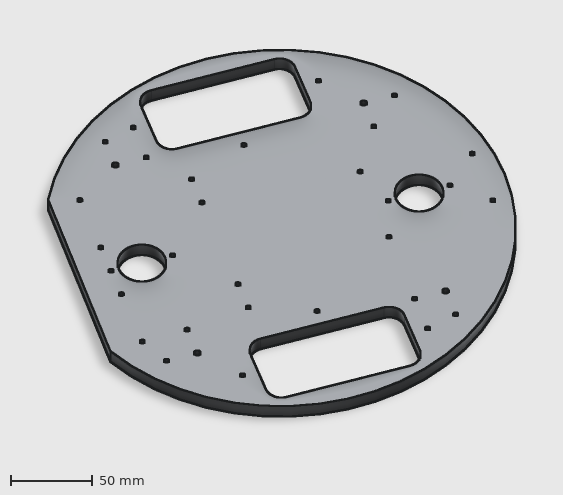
import cadquery as cq
import math

PLATE_RADIUS = 145.0
PLATE_THICKNESS = 10.0

FLAT_LEFT_X = -67.3
FLAT_RIGHT_X = 61.89

WINDOW_WIDTH = 50.0
WINDOW_LENGTH = 100.0
WINDOW_CORNER_RADIUS = 10.0
WINDOW_OFFSET_X = 106.5

CASTER_DIAMETER = 30.0
CASTER_OFFSET_Y = 90.0
CASTER_SCREW_SPACING = 20.0

SCREW_DIAMETER = 3.0
POST_DIAMETER = 4.0

POST_OFFSET = 80.5
POST_ARM = 20.0
POST_PATTERN_TILT = -0.2
QUARTER_COUNT = 4
QUARTER_TURN = 360.0 / QUARTER_COUNT

WINDOW_SCREW_X = 106.2
WINDOW_SCREW_Y = 60.1
EDGE_ROW_Y = CASTER_OFFSET_Y + CASTER_SCREW_SPACING
MIRRORED_SCREWS = [
    (20.0, 131.2),
    (28.0, 61.1),
    (WINDOW_SCREW_X, WINDOW_SCREW_Y),
    (WINDOW_SCREW_X, -WINDOW_SCREW_Y),
    (71.2, 0.0),
    (35.0, -39.3),
    (55.0, -39.3),
    (20.0, -EDGE_ROW_Y),
    (60.7, -EDGE_ROW_Y),
]

def lower_rim_point(x):
    """Point on the -Y half of the plate's rim at the given X."""
    return (x, -math.sqrt(PLATE_RADIUS**2 - x**2))

def rotated(point, degrees):
    """Point turned counter-clockwise about the origin."""
    angle = math.radians(degrees)
    x, y = point
    return (
        x * math.cos(angle) - y * math.sin(angle),
        x * math.sin(angle) + y * math.cos(angle),
    )

def make_plate():
    """Disc with a straight edge across its -Y side, its rim divided at the -X end."""
    return (
        cq.Workplane("XY")
        .moveTo(*lower_rim_point(FLAT_LEFT_X))
        .lineTo(*lower_rim_point(FLAT_RIGHT_X))
        .threePointArc((0, PLATE_RADIUS), (-PLATE_RADIUS, 0))
        .radiusArc(lower_rim_point(FLAT_LEFT_X), -PLATE_RADIUS)
        .close()
        .extrude(PLATE_THICKNESS)
    )

def make_windows():
    """Cutters for the two rounded wheel windows."""
    return (
        cq.Workplane("XY")
        .pushPoints([(-WINDOW_OFFSET_X, 0), (WINDOW_OFFSET_X, 0)])
        .rect(WINDOW_WIDTH, WINDOW_LENGTH)
        .extrude(PLATE_THICKNESS)
        .edges("|Z")
        .fillet(WINDOW_CORNER_RADIUS)
    )

def make_holes(points, diameter):
    """Cutters for through holes of one diameter."""
    return cq.Workplane("XY").pushPoints(points).circle(diameter / 2).extrude(PLATE_THICKNESS)

caster_centres = [(0, -CASTER_OFFSET_Y), (0, CASTER_OFFSET_Y)]

screw_centres = []
for _, caster_y in caster_centres:
    screw_centres.append((0, caster_y - CASTER_SCREW_SPACING))
    screw_centres.append((0, caster_y + CASTER_SCREW_SPACING))
for screw_x, screw_y in MIRRORED_SCREWS:
    screw_centres.append((screw_x, screw_y))
    screw_centres.append((-screw_x, screw_y))

post_centres = []
for quarter in range(QUARTER_COUNT):
    turn = POST_PATTERN_TILT + quarter * QUARTER_TURN
    post_centres.append(rotated((POST_OFFSET, POST_OFFSET), turn))
    screw_centres.append(rotated((POST_OFFSET + POST_ARM, POST_OFFSET), turn))
    screw_centres.append(rotated((POST_OFFSET, POST_OFFSET - POST_ARM), turn))

result = (
    make_plate()
    .cut(make_windows())
    .cut(make_holes(caster_centres, CASTER_DIAMETER))
    .cut(make_holes(screw_centres, SCREW_DIAMETER))
    .cut(make_holes(post_centres, POST_DIAMETER))
)